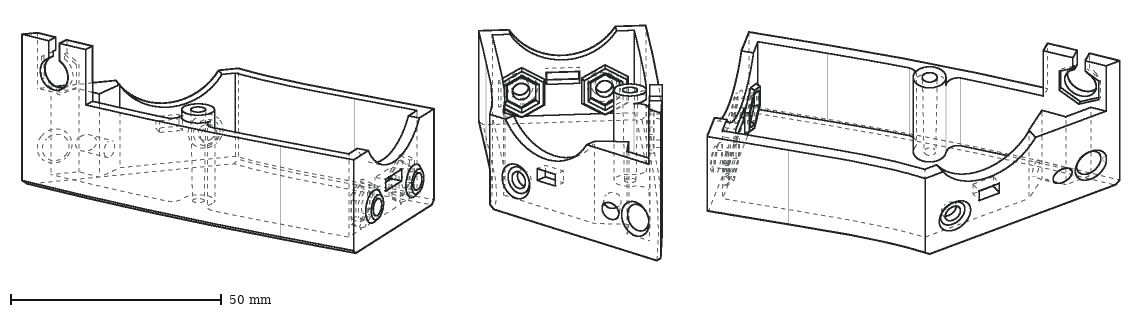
import cadquery as cq
import math

TOTAL_WIDTH = 67.7
TOTAL_LENGTH = 90.5
TOTAL_HEIGHT = 38.0
BODY_HEIGHT = 24.0
WALL = 3.0
EDGE_CHAMFER = 1.0

SIDE_ANGLE = 45.5
END_WIDTH = 39.8
STRAIGHT_LENGTH = 19.9
LEFT_CURVE = [(13.85, 64.8, 44.5), (6.5, 58.3, 39.5), (0, 53.4, 34.0)]

SCOOP_RADIUS = 15.0
SCOOP_DEPTH = 7.0
MATING_CENTER_Y = 35.85

SCREW_Z = 9.0
SCREW_DIAMETER = 4.2
JOINT_HEIGHT = 1.0
CONE_TAPER = 45.0
CONE_DIAMETER = 8.1
RECESS_DIAMETER = 8.6
SCREW_RECESS_OFFSET = 9.4
BLIND_RECESS_OFFSET = -27.9
END_SCREW_OFFSET = 10.0
RIM_BASE_FLATS = 11.1
RIM_TOP_FLATS = 10.1
NUT_MOUTH_FLATS = 8.2
NUT_SEAT_FLATS = 6.9
NUT_SEAT_DEPTH = 0.7

SLOT_Z = 12.4
SLOT_HEIGHT = 3.0
MATING_SLOT_WIDTH = 5.6
END_SLOT_WIDTH = 8.0

POST_X = 29.7
POST_Y = 35.0
POST_HEIGHT = 26.0
POST_RADIUS = 3.9
POST_FILLET = 3.0
POST_HOLE_TOP_DIAMETER = 3.5
POST_HOLE_BOTTOM_DIAMETER = 2.8

BLOCK_CORNER = (7.9, 16.8)
BLOCK_ANGLE = 37.0
BLOCK_FACE_WIDTH = 8.15
BLOCK_DEPTH = 16.3
SLANTED_HOLE_Y = 15.75
SLANTED_HOLE_START = -7.2
SLANTED_HOLE_LENGTH = 21.7

TAB_CENTER_X = 7.2
TAB_END_X = 14.2
TAB_HOLE_Z = 29.9
TAB_HOLE_DIAMETER = 8.0
TAB_SLOT_WIDTH = 3.1
TAB_HEX_FLATS = 10.05
TAB_HEX_DEPTH = 1.0

COS_SIDE = math.cos(math.radians(SIDE_ANGLE))
SIN_SIDE = math.sin(math.radians(SIDE_ANGLE))
END_RIGHT = (TOTAL_WIDTH, TOTAL_LENGTH - END_WIDTH * COS_SIDE)
END_LEFT = (TOTAL_WIDTH - END_WIDTH * SIN_SIDE, TOTAL_LENGTH)
TANGENT_X = END_RIGHT[0] - STRAIGHT_LENGTH * COS_SIDE
TANGENT_Y = END_RIGHT[1] - STRAIGHT_LENGTH * SIN_SIDE

CHORD_ANGLE = math.atan2(TANGENT_Y, TANGENT_X)
ARC_RADIUS = math.hypot(TANGENT_X, TANGENT_Y) / (2 * math.sin(math.radians(SIDE_ANGLE) - CHORD_ANGLE))
ARC_X = TANGENT_X - ARC_RADIUS * SIN_SIDE
ARC_Y = TANGENT_Y + ARC_RADIUS * COS_SIDE

MATING_PLANE = cq.Plane(origin=(0, MATING_CENTER_Y, 0), xDir=(0, 1, 0), normal=(1, 0, 0))
END_PLANE = cq.Plane(
    origin=((END_LEFT[0] + END_RIGHT[0]) / 2, (END_LEFT[1] + END_RIGHT[1]) / 2, 0),
    xDir=(SIN_SIDE, -COS_SIDE, 0),
    normal=(-COS_SIDE, -SIN_SIDE, 0),
)
END_SCREWS = [(-END_SCREW_OFFSET, SCREW_Z), (END_SCREW_OFFSET, SCREW_Z)]


def arc_point(x, inset=0.0):
    """Point at the given X on the right side, moved inward by the inset."""
    radius = ARC_RADIUS - inset
    return (x, ARC_Y - math.sqrt(radius**2 - (x - ARC_X) ** 2))


def outline(inset=0.0):
    """Plan outline with every side except the mating face moved inward by the inset."""

    def shifted(x, y, heading):
        angle = math.radians(heading)
        return (x + inset * math.sin(angle), y - inset * math.cos(angle))

    right_tangent = (TANGENT_X - inset * SIN_SIDE, TANGENT_Y + inset * COS_SIDE)
    right_corner = (
        END_RIGHT[0] - inset * (COS_SIDE + SIN_SIDE),
        END_RIGHT[1] + inset * (COS_SIDE - SIN_SIDE),
    )
    left_corner = (
        END_LEFT[0] - inset * (COS_SIDE - SIN_SIDE),
        END_LEFT[1] - inset * (COS_SIDE + SIN_SIDE),
    )
    left_tangent = shifted(
        END_LEFT[0] - STRAIGHT_LENGTH * COS_SIDE,
        END_LEFT[1] - STRAIGHT_LENGTH * SIN_SIDE,
        SIDE_ANGLE,
    )
    last_angle = math.radians(LEFT_CURVE[-1][2])
    return (
        cq.Workplane("XY")
        .moveTo(*arc_point(0, inset))
        .threePointArc(arc_point(TANGENT_X / 2, inset), right_tangent)
        .lineTo(*right_corner)
        .lineTo(*left_corner)
        .lineTo(*left_tangent)
        .spline(
            [shifted(*point) for point in LEFT_CURVE],
            tangents=[(-COS_SIDE, -SIN_SIDE), (-math.cos(last_angle), -math.sin(last_angle))],
            includeCurrent=True,
        )
        .close()
    )


def shell():
    """Open tray whose two long sides are chamfered along the bottom."""
    body = outline().extrude(BODY_HEIGHT)
    body = body.faces("<Z").edges("not (<X or >(1,1,0))").chamfer(EDGE_CHAMFER)
    cavity = outline(WALL).extrude(BODY_HEIGHT)
    behind_mating_wall = cq.Workplane("XY").box(
        TOTAL_WIDTH, TOTAL_LENGTH, BODY_HEIGHT, centered=False
    )
    cavity = cavity.intersect(behind_mating_wall.translate((WALL, 0, 0)))
    return body.cut(cavity.translate((0, 0, WALL)))


def post():
    """Screw post with a filleted web that joins it to the bulging wall."""
    center_distance = math.hypot(POST_X - ARC_X, POST_Y - ARC_Y)
    rise = ARC_RADIUS - center_distance - WALL - POST_FILLET
    reach = math.sqrt((POST_RADIUS + POST_FILLET) ** 2 - rise**2)
    foot = rise + POST_FILLET + WALL / 2
    plane = cq.Plane(
        origin=(POST_X, POST_Y, WALL / 2),
        xDir=(ARC_Y - POST_Y, POST_X - ARC_X, 0),
        normal=(0, 0, 1),
    )
    web_height = BODY_HEIGHT - WALL / 2
    web = (
        cq.Workplane(plane)
        .polyline([(0, 0), (reach, -rise), (reach, -foot), (-reach, -foot), (-reach, -rise)])
        .close()
        .extrude(web_height)
    )
    fillet_centers = [(reach, -rise), (-reach, -rise)]
    web = web.cut(cq.Workplane(plane).pushPoints(fillet_centers).circle(POST_FILLET).extrude(web_height))
    return web.union(cq.Workplane(plane).circle(POST_RADIUS).extrude(POST_HEIGHT - WALL / 2))


def post_hole():
    """Blind hole that narrows down to the floor of the tray."""
    return (
        cq.Workplane("XY", origin=(POST_X, POST_Y, WALL))
        .circle(POST_HOLE_BOTTOM_DIAMETER / 2)
        .workplane(offset=POST_HEIGHT - WALL)
        .circle(POST_HOLE_TOP_DIAMETER / 2)
        .loft()
    )


def corner_block():
    """Square-cornered block that backs the mating wall."""
    plane = cq.Plane(
        origin=(BLOCK_CORNER[0], BLOCK_CORNER[1], WALL / 2),
        xDir=(math.cos(math.radians(BLOCK_ANGLE)), math.sin(math.radians(BLOCK_ANGLE)), 0),
        normal=(0, 0, 1),
    )
    height = BODY_HEIGHT - WALL / 2
    block = cq.Workplane(plane).rect(-BLOCK_DEPTH, BLOCK_FACE_WIDTH, centered=False).extrude(height)
    behind_mating_face = cq.Workplane("XY").box(BLOCK_CORNER[0], TOTAL_LENGTH, BODY_HEIGHT, centered=False)
    return block.intersect(behind_mating_face)


def slanted_hole():
    """Screw hole through the mating wall, square to the face of the corner block."""
    angle = math.radians(BLOCK_ANGLE)
    direction = cq.Vector(math.cos(angle), math.sin(angle), 0)
    start = cq.Vector(0, SLANTED_HOLE_Y, SCREW_Z) + direction * SLANTED_HOLE_START
    hole = cq.Solid.makeCylinder(SCREW_DIAMETER / 2, SLANTED_HOLE_LENGTH, start, direction)
    return cq.Workplane(hole)


def cones(plane, points, base_diameter, height):
    """45 degree cones along the normal of the plane, or against it if the height is negative."""
    sketch = cq.Workplane(plane).pushPoints(points).circle(base_diameter / 2)
    return sketch.extrude(height, taper=CONE_TAPER)


def holes(plane, points, diameter, depth):
    """Cylinders along the normal of the plane."""
    return cq.Workplane(plane).pushPoints(points).circle(diameter / 2).extrude(depth)


def hexagons(plane, points, start, depth, flats, end_flats):
    """Hexagonal frusta along the normal of the plane, or against it if the depth is negative."""
    taper = math.degrees(math.atan((flats - end_flats) / 2 / abs(depth)))
    turned_points = [(y, -x) for x, y in points]
    sketch = cq.Workplane(plane.rotated((0, 0, 90))).workplane(offset=start).pushPoints(turned_points)
    sketch = sketch.polygon(6, flats / math.cos(math.pi / 6))
    return sketch.extrude(depth, taper=taper)


def scoop(plane):
    """Circular cutter that rests on the top of a wall."""
    center = (0, BODY_HEIGHT - SCOOP_DEPTH + SCOOP_RADIUS)
    return holes(plane, [center], 2 * SCOOP_RADIUS, WALL)


def slot(plane, width):
    """Rectangular cable slot through a wall."""
    return cq.Workplane(plane).center(0, SLOT_Z).rect(width, SLOT_HEIGHT).extrude(WALL)


def tab_frame(x):
    """Frame on the bulging side at the given X: local X toward the tip, Y up, normal inward."""
    point = arc_point(x)
    inward = (ARC_X - point[0], ARC_Y - point[1], 0)
    return cq.Plane(origin=(point[0], point[1], 0), xDir=(-inward[1], inward[0], 0), normal=inward)


def tab():
    """Clip tab that carries the bulging wall upward beside the tip."""
    ring = cq.Workplane("XY", origin=(ARC_X, ARC_Y, WALL))
    ring = ring.circle(ARC_RADIUS).circle(ARC_RADIUS - WALL).extrude(TOTAL_HEIGHT - WALL)
    up_to_end = cq.Workplane(tab_frame(TAB_END_X))
    up_to_end = up_to_end.rect(2 * TAB_END_X, TOTAL_HEIGHT, centered=False).extrude(2 * WALL)
    behind_mating_face = cq.Workplane("XY").box(TAB_END_X, TAB_END_X, TOTAL_HEIGHT, centered=False)
    return ring.intersect(up_to_end).intersect(behind_mating_face)


def tab_cuts():
    """Hole through the clip tab, its slot to the top and the hexagonal pocket on the inner side."""
    frame = tab_frame(TAB_CENTER_X)
    center = (0, TAB_HOLE_Z)
    through = 2 * WALL
    hole = holes(frame, [center], TAB_HOLE_DIAMETER, through)
    height = TOTAL_HEIGHT - TAB_HOLE_Z
    opening = cq.Workplane(frame).center(0, TAB_HOLE_Z + height / 2)
    opening = opening.rect(TAB_SLOT_WIDTH, height).extrude(through)
    hexagon = hexagons(frame, [center], WALL - TAB_HEX_DEPTH, through, TAB_HEX_FLATS, TAB_HEX_FLATS)
    return hole.union(opening).union(hexagon)


def end_wall_features(body):
    """Cones outside the end wall and tapered nut pockets with raised rims inside it."""
    rims = hexagons(END_PLANE, END_SCREWS, WALL, JOINT_HEIGHT, RIM_BASE_FLATS, RIM_TOP_FLATS)
    rim_top = WALL + JOINT_HEIGHT
    pockets = hexagons(END_PLANE, END_SCREWS, rim_top, -JOINT_HEIGHT, NUT_MOUTH_FLATS, NUT_SEAT_FLATS)
    seats = hexagons(END_PLANE, END_SCREWS, WALL, -NUT_SEAT_DEPTH, NUT_SEAT_FLATS, NUT_SEAT_FLATS)
    body = body.union(cones(END_PLANE, END_SCREWS, CONE_DIAMETER, -JOINT_HEIGHT)).union(rims)
    body = body.cut(pockets).cut(seats)
    screw_start = cq.Workplane(END_PLANE).workplane(offset=-JOINT_HEIGHT).plane
    body = body.cut(holes(screw_start, END_SCREWS, SCREW_DIAMETER, WALL + 2 * JOINT_HEIGHT))
    return body.cut(scoop(END_PLANE)).cut(slot(END_PLANE, END_SLOT_WIDTH))


def mating_wall_features(body):
    """Conical recesses, one of them with a screw hole, and the scoop and slot of the mating wall."""
    recesses = [(SCREW_RECESS_OFFSET, SCREW_Z), (BLIND_RECESS_OFFSET, SCREW_Z)]
    body = body.cut(cones(MATING_PLANE, recesses, RECESS_DIAMETER, JOINT_HEIGHT))
    body = body.cut(holes(MATING_PLANE, [(SCREW_RECESS_OFFSET, SCREW_Z)], SCREW_DIAMETER, WALL))
    body = body.cut(slanted_hole())
    return body.cut(scoop(MATING_PLANE)).cut(slot(MATING_PLANE, MATING_SLOT_WIDTH))


result = shell().union(post()).union(corner_block()).cut(post_hole())
result = end_wall_features(result)
result = mating_wall_features(result)
result = result.union(tab()).cut(tab_cuts())